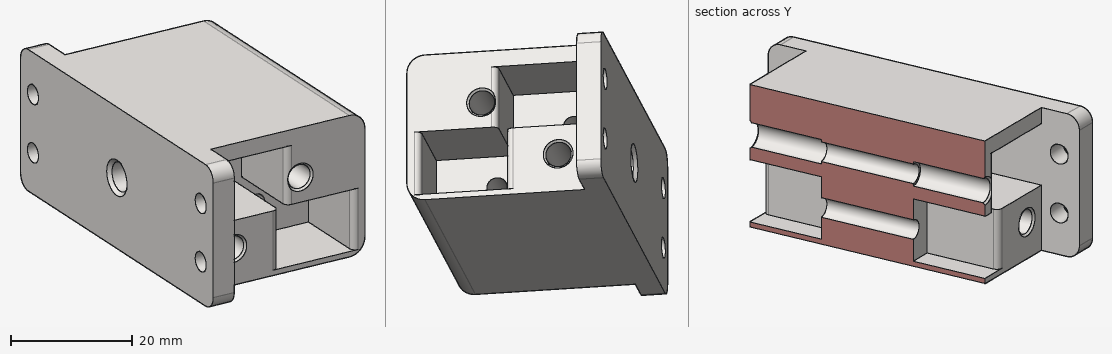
import cadquery as cq

length = 61.0
depth = 34.0
height = 25.5
plate_thickness = 4.1
plate_corner_radius = 2.45
plate_hole_diameter = 3.5
plate_hole_x = 26.55
plate_hole_heights = (7.45, 17.95)

body_length = 46.1
body_corner_radius = 3.05

pocket_depth = 14.0
pocket_floor = 1.0
pocket_roof = 22.65
lower_block_top = 11.65
upper_block_bottom = 12.0
lower_block_back = 17.2
upper_block_front = 18.65
pocket_back = 31.6
mouth_radius = 1.05

front_hole_y = 8.55
rear_hole_y = 21.4
low_hole_z = 6.6
high_hole_z = 16.55
web_hole_diameter = 3.4
block_hole_diameter = 4.3
block_countersink_diameter = 5.0

center_hole_diameter = 5.1
center_countersink_diameter = 6.4
center_hole_depth = 12.2

end_x = body_length / 2


def box(x_range, y_range, z_range):
    """Box spanning the given coordinate ranges."""
    (x0, x1), (y0, y1), (z0, z1) = x_range, y_range, z_range
    return cq.Workplane("XY").box(x1 - x0, y1 - y0, z1 - z0, centered=False).translate((x0, y0, z0))


def drill(start, direction, diameter, hole_depth):
    """Cylinder used to cut a hole."""
    return cq.Workplane(cq.Solid.makeCylinder(diameter / 2, hole_depth, cq.Vector(*start), cq.Vector(*direction)))


def countersink(start, direction, outer_diameter, inner_diameter):
    """45-degree cone used to chamfer the mouth of a hole."""
    outer_radius = outer_diameter / 2
    inner_radius = inner_diameter / 2
    cone_depth = outer_radius - inner_radius
    return cq.Workplane(
        cq.Solid.makeCone(outer_radius, inner_radius, cone_depth, cq.Vector(*start), cq.Vector(*direction))
    )


def make_plate():
    plate = box((-length / 2, length / 2), (0, plate_thickness), (0, height))
    plate = plate.edges("|Y").fillet(plate_corner_radius)
    for x in (-plate_hole_x, plate_hole_x):
        for z in plate_hole_heights:
            plate = plate.cut(drill((x, 0, z), (0, 1, 0), plate_hole_diameter, plate_thickness))
    return plate


def make_body():
    body = box((-end_x, end_x), (plate_thickness, depth), (0, height))
    return body.edges("|X and >Y").fillet(body_corner_radius)


def mouth_flare(wall_y, outward, z_range):
    """Convex rounding where a pocket wall meets the -X end; outward is the Y sign into the wall."""
    z0, z1 = z_range
    rounding = (
        cq.Workplane("XY")
        .moveTo(-end_x, wall_y)
        .lineTo(-end_x + mouth_radius, wall_y)
        .radiusArc((-end_x, wall_y + outward * mouth_radius), outward * mouth_radius)
        .close()
        .extrude(z1 - z0)
    )
    return rounding.translate((0, 0, z0))


def make_pocket():
    """Stepped pocket at the -X end, with rounded mouth edges."""
    x_range = (-end_x, -end_x + pocket_depth)
    lower_z = (pocket_floor, upper_block_bottom)
    upper_z = (lower_block_top, pocket_roof)
    lower = box(x_range, (lower_block_back, pocket_back), lower_z)
    upper = box(x_range, (plate_thickness, upper_block_front), upper_z)
    pocket = lower.union(upper)
    pocket = pocket.union(mouth_flare(pocket_back, 1, lower_z))
    pocket = pocket.union(mouth_flare(upper_block_front, 1, (upper_block_bottom, pocket_roof)))
    return pocket.union(mouth_flare(lower_block_back, -1, (pocket_floor, lower_block_top)))


def make_block_holes():
    """Countersunk holes through the two blocks beside the -X pocket."""
    holes = cq.Workplane("XY")
    for y, z in ((front_hole_y, low_hole_z), (rear_hole_y, high_hole_z)):
        start = (-end_x, y, z)
        holes = holes.add(drill(start, (1, 0, 0), block_hole_diameter, pocket_depth))
        holes = holes.add(countersink(start, (1, 0, 0), block_countersink_diameter, block_hole_diameter))
    return holes.combine()


result = make_plate().union(make_body())

end_cut = make_pocket().union(make_block_holes())
result = result.cut(end_cut).cut(end_cut.mirror("YZ"))

for hole_y in (front_hole_y, rear_hole_y):
    for hole_z in (low_hole_z, high_hole_z):
        result = result.cut(drill((-end_x, hole_y, hole_z), (1, 0, 0), web_hole_diameter, body_length))

center = (0, 0, height / 2)
result = result.cut(drill(center, (0, 1, 0), center_hole_diameter, center_hole_depth))
result = result.cut(countersink(center, (0, 1, 0), center_countersink_diameter, center_hole_diameter))